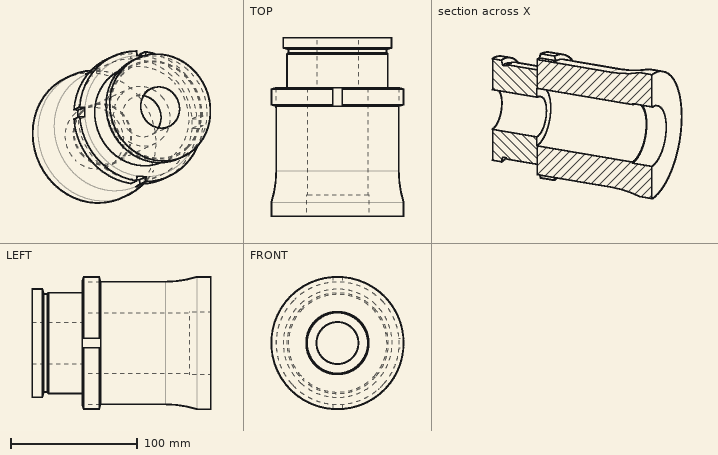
import cadquery as cq
import math

length = 141.5
front_y = -length / 2
rear_y = length / 2
joint_y = 31.1

rim_radius = 52.5
barrel_radius = 48.7
rim_width = 11.0
flare_length = 25.2
collar_width = 14.6
collar_bevel_width = 1.1
mouth_radius = 24.9
mouth_depth = 17.3
bore_radius = 24.0
notch_width = 7.6
notch_floor_radius = barrel_radius
notch_count = 4

neck_radius = 40.0
flange_radius = 43.0
flange_width = 8.0
flange_bevel_width = 1.1
groove_radius = 39.0
groove_width = 2.5
groove_bevel_width = 1.4
through_radius = 16.5


def cylinder(radius, start_y, end_y):
    """Solid cylinder on the Y axis."""
    base = cq.Workplane("XZ", origin=(0, start_y, 0))
    return base.circle(radius).extrude(start_y - end_y)


def flare_midpoint(start_y, end_y):
    """Middle point of the concave flare, which is tangent to the barrel at end_y."""
    rise = rim_radius - barrel_radius
    run = end_y - start_y
    arc_radius = (run**2 + rise**2) / (2 * rise)
    half_angle = math.asin(run / arc_radius) / 2
    return (
        barrel_radius + arc_radius * (1 - math.cos(half_angle)),
        end_y - arc_radius * math.sin(half_angle),
    )


def sleeve_blank():
    """Revolved outside of the sleeve: rim, flare, barrel and collar."""
    flare_start = front_y + rim_width
    flare_end = flare_start + flare_length
    collar_front = joint_y - collar_width
    profile = (
        cq.Workplane("XY")
        .moveTo(0, front_y)
        .lineTo(rim_radius, front_y)
        .lineTo(rim_radius, flare_start)
        .threePointArc(flare_midpoint(flare_start, flare_end), (barrel_radius, flare_end))
        .lineTo(barrel_radius, collar_front)
        .lineTo(rim_radius, collar_front + collar_bevel_width)
        .lineTo(rim_radius, joint_y - collar_bevel_width)
        .lineTo(barrel_radius, joint_y)
        .lineTo(0, joint_y)
        .close()
    )
    return profile.revolve(360, (0, 0, 0), (0, 1, 0))


def collar_notch(angle):
    """Cutter for one key notch across the collar, turned about the Y axis."""
    notch_depth = rim_radius - notch_floor_radius
    return (
        cq.Workplane("XY")
        .box(notch_width, collar_width, notch_depth, centered=(True, False, False))
        .translate((0, joint_y - collar_width, notch_floor_radius))
        .rotate((0, 0, 0), (0, 1, 0), angle)
    )


def make_sleeve():
    sleeve = sleeve_blank()
    sleeve = sleeve.cut(cylinder(bore_radius, front_y, joint_y))
    sleeve = sleeve.cut(cylinder(mouth_radius, front_y, front_y + mouth_depth))
    for index in range(notch_count):
        sleeve = sleeve.cut(collar_notch(index * 360 / notch_count))
    return sleeve


def make_spigot():
    """Neck with a relief groove and end flange, bored through."""
    flange_front = rear_y - flange_width
    groove_rear = flange_front - flange_bevel_width
    groove_front = groove_rear - groove_width
    profile = (
        cq.Workplane("XY")
        .moveTo(through_radius, joint_y)
        .lineTo(neck_radius, joint_y)
        .lineTo(neck_radius, groove_front - groove_bevel_width)
        .lineTo(groove_radius, groove_front)
        .lineTo(groove_radius, groove_rear)
        .lineTo(flange_radius, flange_front)
        .lineTo(flange_radius, rear_y)
        .lineTo(through_radius, rear_y)
        .close()
    )
    return profile.revolve(360, (0, 0, 0), (0, 1, 0))


sleeve = make_sleeve()
spigot = make_spigot()
result = cq.Compound.makeCompound([sleeve.val(), spigot.val()])